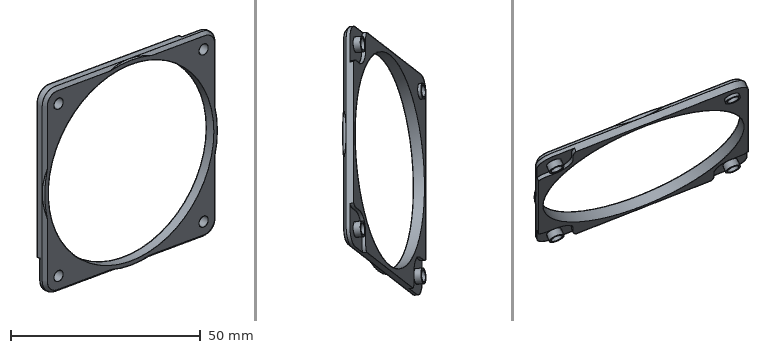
import cadquery as cq
import math

side = 60.0
corner_radius = 4.4
bore_diameter = 57.5

boss_height = 0.9
pocket_depth = 1.1
rim_depth = 1.0
thickness = 4.0
front_x = boss_height
pocket_floor_x = front_x + pocket_depth
rim_x = thickness - rim_depth

rim_inset = 0.9
collar_diameter = side

hole_diameter = 3.2
boss_diameter = 4.2
hole_offset = 25.2
pocket_radius = 5.1
flare_radius = 3.0
flare_length = 2.05

half = side / 2
corners = [(y, z) for y in (-1, 1) for z in (-1, 1)]
pocket_corners = [(1, 1), (1, -1), (-1, -1)]


def plane_at(x):
    """YZ sketch plane at the given x: local x is Y, local y is Z."""
    return cq.Workplane("YZ", origin=(x, 0, 0))


def cylinder(diameter, start_x, end_x, y=0, z=0):
    return plane_at(start_x).center(y, z).circle(diameter / 2).extrude(end_x - start_x)


def plate():
    body = plane_at(front_x).rect(side, side).extrude(rim_x - front_x)
    body = body.edges("|X").fillet(corner_radius)
    taper = math.degrees(math.atan(rim_inset / rim_depth))
    outline = body.faces(">X").wires().toPending().workplane()
    rim = outline.extrude(rim_depth, taper=taper, combine=False)
    collar = cylinder(collar_diameter, rim_x, thickness)
    return body.union(rim).union(collar)


def corner_pocket(y_sign, z_sign):
    """Pocket concentric with the boss, flaring out where it meets the plate edges."""
    wall = hole_offset - pocket_radius
    flare_start = half - flare_length
    flare_centre = wall - flare_radius

    def flare_at(angle):
        return flare_centre + flare_radius * math.cos(angle), flare_start + flare_radius * math.sin(angle)

    end_angle = math.asin(flare_length / flare_radius)
    flare_middle = flare_at(end_angle / 2)
    flare_end = flare_at(end_angle)
    arc_middle = hole_offset - pocket_radius * math.sqrt(0.5)

    def place(point):
        return y_sign * point[0], z_sign * point[1]

    def swap(point):
        return point[1], point[0]

    return (
        plane_at(front_x)
        .moveTo(*place((half, half)))
        .lineTo(*place(flare_end))
        .threePointArc(place(flare_middle), place((wall, flare_start)))
        .lineTo(*place((wall, hole_offset)))
        .threePointArc(place((arc_middle, arc_middle)), place((hole_offset, wall)))
        .lineTo(*place((flare_start, wall)))
        .threePointArc(place(swap(flare_middle)), place(swap(flare_end)))
        .close()
        .extrude(pocket_depth)
    )


result = plate().cut(cylinder(bore_diameter, 0, thickness))

for y_sign, z_sign in pocket_corners:
    result = result.cut(corner_pocket(y_sign, z_sign))

for y_sign, z_sign in corners:
    centre = (y_sign * hole_offset, z_sign * hole_offset)
    result = result.union(cylinder(boss_diameter, 0, pocket_floor_x, *centre))
    result = result.cut(cylinder(hole_diameter, 0, thickness, *centre))